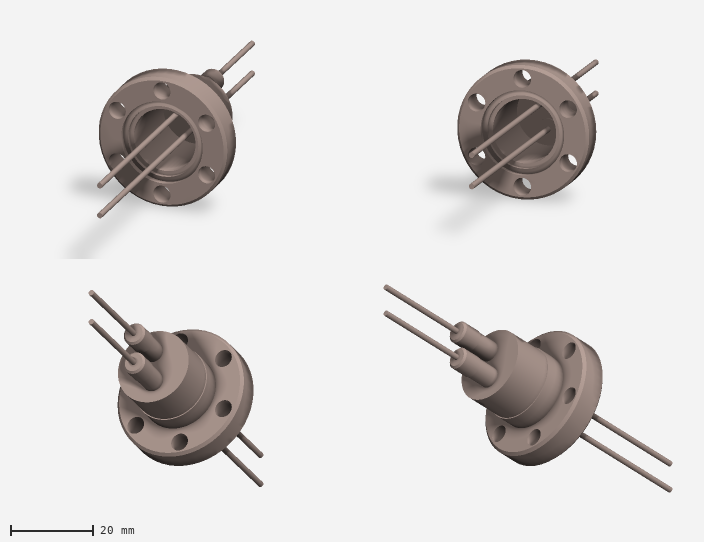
import cadquery as cq

wire_length = 101.6
wire_diameter = 1.4
wire_spacing = 7.8

flange_diameter = 33.7
flange_thickness = 7.2
flange_chamfer = 0.7
flange_front = -9.3
flange_back = flange_front + flange_thickness

bolt_count = 6
bolt_hole_diameter = 4.5
bolt_circle_diameter = 27.0

recess_diameter = 21.3
recess_depth = 1.5
knife_diameter = 18.4
knife_depth = 0.8
seat_depth = 1.8

bore_diameter = 16.2
cup_diameter = 18.9
cup_back = 13.6
cup_end_thickness = 1.5
collar_diameter = 19.4
collar_back = 3.3

sleeve_diameter = 5.3
sleeve_stand_out = 0.5
sleeve_back = 20.0
cap_diameter = 5.7
cap_back = 25.4
cap_chamfer = 0.5


def cylinder(diameter, y_start, y_end, z=0.0):
    """Solid cylinder along Y between two positions, centred at x = 0 and height z."""
    plane = cq.Workplane("XZ", origin=(0, y_start, z))
    return plane.circle(diameter / 2).extrude(y_start - y_end)


def flange():
    body = cylinder(flange_diameter, flange_front, flange_back).edges().chamfer(flange_chamfer)
    holes = (
        cq.Workplane("XZ", origin=(0, flange_front, 0))
        .polarArray(bolt_circle_diameter / 2, 90, 360, bolt_count)
        .circle(bolt_hole_diameter / 2)
        .extrude(-flange_thickness)
    )
    return body.cut(holes)


def cup():
    collar = cylinder(collar_diameter, flange_back, collar_back)
    return collar.union(cylinder(cup_diameter, flange_back, cup_back))


def inner_cavity():
    """Revolved space of the knife-edge recess, the seat behind it and the blind bore."""
    profile = [
        (0, flange_front),
        (recess_diameter / 2, flange_front),
        (recess_diameter / 2, flange_front + recess_depth),
        (knife_diameter / 2, flange_front + knife_depth),
        (knife_diameter / 2, flange_front + seat_depth),
        (bore_diameter / 2, flange_front + seat_depth),
        (bore_diameter / 2, cup_back - cup_end_thickness),
        (0, cup_back - cup_end_thickness),
    ]
    return cq.Workplane("XY").polyline(profile).close().revolve(360, (0, 0, 0), (0, 1, 0))


def feedthrough(z):
    """Sleeve with a chamfered cap and a wire running through it."""
    sleeve_front = cup_back - cup_end_thickness - sleeve_stand_out
    sleeve = cylinder(sleeve_diameter, sleeve_front, sleeve_back, z)
    cap = cylinder(cap_diameter, sleeve_back, cap_back, z).faces(">Y").chamfer(cap_chamfer)
    wire = cylinder(wire_diameter, -wire_length / 2, wire_length / 2, z)
    return sleeve.union(cap).union(wire)


result = flange().union(cup()).cut(inner_cavity())
for side in (-1, 1):
    result = result.union(feedthrough(side * wire_spacing / 2))